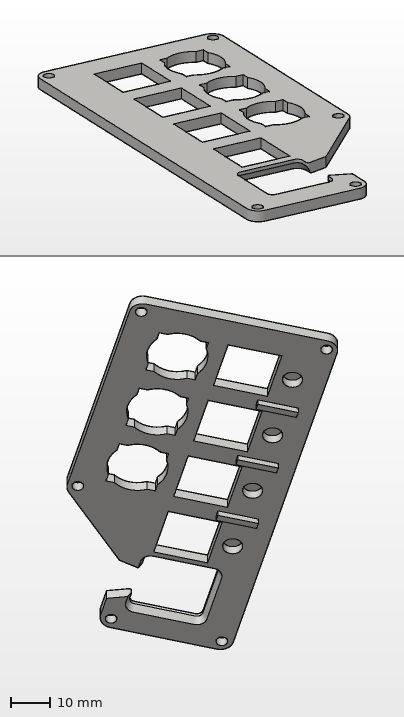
import cadquery as cq
import math

length = 108.2
width = 54.7
plate_thickness = 3.0
corner_radius = 3.5
right_x = length / 2
back_y = width / 2

slope_start_x = 11.6
slope_end = (31.5, 7.9)
arm_back_y = 7.7
arm_tip_x = 44.8

bay_left_x = 29.0
bay_right_x = 46.4
bay_front_y = -17.7
bay_back_y = 1.5
bay_corner_radius = 1.6
left_lip_x = 33.0
right_lip_x = 42.3
lip_radius = 0.6

flare_height = 2.1
flare_width = 1.1

screw_diameter = 2.9
screw_inset = 2.9
slope_screw = (10.0, 24.7)

pitch = 19.5
first_column_x = -39.0
key_count = 4
knob_count = 3
key_columns = [first_column_x + pitch * i for i in range(key_count)]
knob_columns = key_columns[:knob_count]
key_size = 14.2
key_y = -6.9
knob_y = 11.7
knob_diameter = 15.6
knob_square = 13.0

lamp_diameter = 5.1
lamp_y = -18.7
lamp_skin = 0.3

rib_height = 1.7
rib_width = 1.7
rib_length = 10.7
rib_y = -17.3


def prism(sketch):
    """Extrude a closed outline through the full plate thickness."""
    return sketch.extrude(plate_thickness)


def at(points):
    """Start a sketch on the underside at each of the given places."""
    return cq.Workplane("XY").pushPoints(points)


def fillet_upright_edge(body, point, radius):
    """Round the vertical edge nearest to an outline corner."""
    middle = (point[0], point[1], plate_thickness / 2)
    return body.edges(cq.selectors.NearestToPointSelector(middle)).fillet(radius)


def make_plate():
    front_left = (-right_x, -back_y)
    front_right = (right_x, -back_y)
    arm_back_right = (right_x, arm_back_y)
    arm_tip = (arm_tip_x, arm_back_y)
    right_lip = (right_lip_x, bay_back_y)
    left_lip = (left_lip_x, bay_back_y)
    bay_corners = [
        (bay_right_x, bay_back_y),
        (bay_right_x, bay_front_y),
        (bay_left_x, bay_front_y),
        (bay_left_x, bay_back_y),
    ]
    slope_start = (slope_start_x, back_y)
    back_left = (-right_x, back_y)

    outer_corners = [front_left, front_right, arm_back_right, slope_start, back_left]
    lip_corners = [right_lip, left_lip]
    outline = [front_left, front_right, arm_back_right, arm_tip, right_lip]
    outline += bay_corners
    outline += [left_lip, slope_end, slope_start, back_left]
    plate = prism(cq.Workplane("XY").polyline(outline).close())
    for corners, radius in (
        (outer_corners, corner_radius),
        (bay_corners, bay_corner_radius),
        (lip_corners, lip_radius),
    ):
        for corner in corners:
            plate = fillet_upright_edge(plate, corner, radius)
    return plate


def make_bay_flare():
    """Tapered cut, widest at the underside and meeting the bay walls at the flare height."""
    size_x = bay_right_x - bay_left_x + 2 * flare_width
    size_y = bay_back_y - bay_front_y + 2 * flare_width
    middle = ((bay_left_x + bay_right_x) / 2, (bay_front_y + bay_back_y) / 2)
    taper = math.degrees(math.atan2(flare_width, flare_height))
    base = cq.Sketch().rect(size_x, size_y).vertices().fillet(bay_corner_radius + flare_width)
    return at([middle]).placeSketch(base).extrude(flare_height, taper=taper)


def make_screw_holes():
    left = -right_x + screw_inset
    right = right_x - screw_inset
    front = -back_y + screw_inset
    places = [
        (left, front),
        (right, front),
        (left, back_y - screw_inset),
        (right, arm_back_y - screw_inset),
        slope_screw,
    ]
    return prism(at(places).circle(screw_diameter / 2))


def make_key_openings():
    return prism(at([(x, key_y) for x in key_columns]).rect(key_size, key_size))


def make_knob_openings():
    """Round openings overlaid with squares whose corners stick out as notches."""
    places = [(x, knob_y) for x in knob_columns]
    rounds = prism(at(places).circle(knob_diameter / 2))
    squares = prism(at(places).rect(knob_square, knob_square))
    return rounds.union(squares)


def make_lamp_pockets():
    places = [(x, lamp_y) for x in key_columns]
    return at(places).circle(lamp_diameter / 2).extrude(plate_thickness - lamp_skin)


def make_ribs():
    places = [(x + pitch / 2, rib_y) for x in key_columns[:-1]]
    return at(places).rect(rib_width, rib_length).extrude(-rib_height)


result = (
    make_plate()
    .cut(make_bay_flare())
    .cut(make_screw_holes())
    .cut(make_key_openings())
    .cut(make_knob_openings())
    .cut(make_lamp_pockets())
    .union(make_ribs())
)